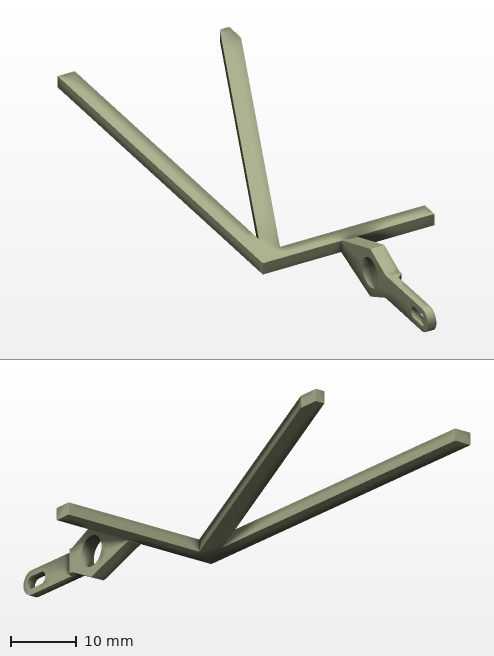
import cadquery as cq
import math

total_length = 91.0
frame_length = 64.0
frame_width = 30.0
bar_width = 3.0
frame_thickness = 2.0
brace_end_y = 1.7

lug_front_y = 13.7
lug_thickness = 2.5
tongue_thickness = 1.5
lug_height = 8.5
tongue_height = 4.0
root_height = 2.2
peak_x = frame_length + 9.0
neck_x = frame_length + 13.7
step_x = frame_length + 15.1
step_chamfer = 0.7
hole_diameter = 5.0
slot_height = 2.0
slot_length = 4.4

tip_radius = tongue_height / 2
tip_center_x = total_length - tip_radius
slot_center_x = tip_center_x + slot_height / 2 - slot_length / 2
lug_back_y = lug_front_y + lug_thickness
tongue_back_y = lug_front_y + tongue_thickness


def frame_block(x, y, length, width):
    """Box of frame thickness, centred on Z = 0, from its low X and Y corner."""
    block = cq.Workplane("XY").box(length, width, frame_thickness, centered=(False, False, True))
    return block.translate((x, y, 0))


def make_brace():
    """Diagonal bar trimmed to the rectangle of the frame."""
    drop = frame_width - brace_end_y
    brace_angle = math.degrees(math.atan2(drop, frame_length))
    brace_length = 2 * math.hypot(frame_length, drop)
    brace = (
        cq.Workplane("XY")
        .box(brace_length, bar_width, frame_thickness)
        .rotate((0, 0, 0), (0, 0, 1), -brace_angle)
        .translate((frame_length / 2, (frame_width + brace_end_y) / 2, 0))
    )
    return brace.intersect(frame_block(0, 0, frame_length, frame_width))


def make_frame():
    long_arm = frame_block(0, 0, frame_length, bar_width)
    short_arm = frame_block(frame_length - bar_width, 0, bar_width, frame_width)
    return long_arm.union(short_arm).union(make_brace())


def make_lug():
    """Pointed plate with a thinner rounded tongue, pierced by a hole and a slot."""
    front = cq.Workplane("XZ", origin=(0, lug_front_y, 0))
    outline = (
        front.moveTo(frame_length, -root_height / 2)
        .lineTo(peak_x, -lug_height / 2)
        .lineTo(neck_x, -tongue_height / 2)
        .lineTo(tip_center_x, -tongue_height / 2)
        .threePointArc((total_length, 0), (tip_center_x, tongue_height / 2))
        .lineTo(neck_x, tongue_height / 2)
        .lineTo(peak_x, lug_height / 2)
        .lineTo(frame_length, root_height / 2)
        .close()
        .extrude(-lug_thickness)
    )
    side_profile = (
        cq.Workplane("XY")
        .moveTo(frame_length, lug_front_y)
        .lineTo(total_length, lug_front_y)
        .lineTo(total_length, tongue_back_y)
        .lineTo(step_x, tongue_back_y)
        .lineTo(step_x, lug_back_y - step_chamfer)
        .lineTo(step_x - step_chamfer, lug_back_y)
        .lineTo(frame_length, lug_back_y)
        .close()
        .extrude(lug_height / 2, both=True)
    )
    hole = front.center(peak_x, 0).circle(hole_diameter / 2).extrude(-lug_thickness)
    slot = front.center(slot_center_x, 0).slot2D(slot_length, slot_height).extrude(-lug_thickness)
    return outline.intersect(side_profile).cut(hole).cut(slot)


result = make_frame().union(make_lug())